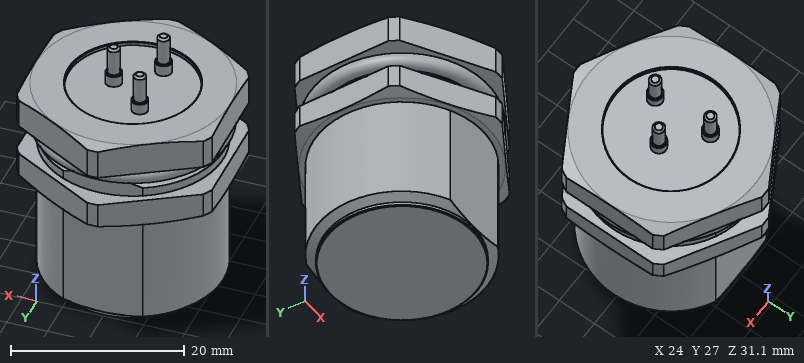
import cadquery as cq
import math

TOTAL_HEIGHT = 31.1

HEX_ACROSS_FLATS = 24.0
HEX_CORNER_DIAMETER = 27.0
HEX_CHAMFER_DIAMETER = 23.85
HEX_CHAMFER_ANGLE = 15.0

BARREL_DIAMETER = 22.3
NECK_DIAMETER = 19.9
ACROSS_BARREL_FLATS = 20.03
BARREL_CHAMFER_HEIGHT = 0.62
BARREL_BOTTOM = 0.53
BARREL_TOP = 20.25
END_EDGE_CHAMFER = 0.12

FLANGE_BOTTOM = 22.42
FLANGE_THICKNESS = 4.1
RECESS_DIAMETER = 15.8
RECESS_DEPTH = 0.5
RECESS_EDGE_CHAMFER = 0.1

PIN_DIAMETER = 1.5
PIN_TIP_CHAMFER = 0.28
COLLAR_DIAMETER = 2.0
COLLAR_TOP = 27.55
COLLAR_EDGE_CHAMFER = 0.12
SINGLE_PIN_X = 2.35
PAIR_PIN_X = -2.3
PIN_OFFSET_Y = 3.95

RING_SECTION_DIAMETER = 2.0

NUT_BOTTOM = 15.0
NUT_THICKNESS = 3.5

FLANGE_TOP = FLANGE_BOTTOM + FLANGE_THICKNESS
RECESS_FLOOR = FLANGE_TOP - RECESS_DEPTH
PIN_POSITIONS = [
    (SINGLE_PIN_X, 0),
    (PAIR_PIN_X, PIN_OFFSET_Y),
    (PAIR_PIN_X, -PIN_OFFSET_Y),
]


def cylinder(diameter, bottom, top):
    """Vertical cylinder on the Z axis between two heights."""
    return cq.Workplane("XY").workplane(offset=bottom).circle(diameter / 2).extrude(top - bottom)


def hexagon(thickness):
    """Hexagon standing on Z = 0, with corners turned round and the top corners bevelled."""
    corner_radius = HEX_CORNER_DIAMETER / 2
    chamfer_radius = HEX_CHAMFER_DIAMETER / 2
    chamfer_drop = (corner_radius - chamfer_radius) * math.tan(math.radians(HEX_CHAMFER_ANGLE))
    full_corner_diameter = HEX_ACROSS_FLATS / math.cos(math.radians(30))

    prism = (
        cq.Workplane("XY")
        .transformed(rotate=(0, 0, 30))
        .polygon(6, full_corner_diameter)
        .extrude(thickness)
    )
    turned_blank = (
        cq.Workplane("XZ")
        .polyline([
            (0, 0),
            (corner_radius, 0),
            (corner_radius, thickness - chamfer_drop),
            (chamfer_radius, thickness),
            (0, thickness),
        ])
        .close()
        .revolve(360, (0, 0, 0), (0, 1, 0))
    )
    return prism.intersect(turned_blank)


def make_barrel():
    """Barrel with conical ends and a flat on the front and back, on a narrower core."""
    neck_radius = NECK_DIAMETER / 2
    barrel_radius = BARREL_DIAMETER / 2

    sleeve = (
        cq.Workplane("XZ")
        .polyline([
            (0, BARREL_BOTTOM),
            (neck_radius, BARREL_BOTTOM),
            (barrel_radius, BARREL_BOTTOM + BARREL_CHAMFER_HEIGHT),
            (barrel_radius, BARREL_TOP - BARREL_CHAMFER_HEIGHT),
            (neck_radius, BARREL_TOP),
            (0, BARREL_TOP),
        ])
        .close()
        .revolve(360, (0, 0, 0), (0, 1, 0))
    )
    between_flats = cq.Workplane("XY").box(
        BARREL_DIAMETER, ACROSS_BARREL_FLATS, BARREL_TOP, centered=(True, True, False)
    )
    core = cylinder(NECK_DIAMETER, 0, FLANGE_BOTTOM).faces("<Z").chamfer(END_EDGE_CHAMFER)
    return core.union(sleeve.intersect(between_flats))


def make_flange():
    """Hexagon flange with a shallow round recess in its top face."""
    recess = cylinder(RECESS_DIAMETER, RECESS_FLOOR, FLANGE_TOP)
    flange = hexagon(FLANGE_THICKNESS).translate((0, 0, FLANGE_BOTTOM)).cut(recess)
    recess_rim = cq.selectors.RadiusNthSelector(0)
    return flange.faces(">Z").edges("%CIRCLE").edges(recess_rim).chamfer(RECESS_EDGE_CHAMFER)


def make_pin(x, y):
    """Stepped contact pin rising from the recess floor."""
    collar = cylinder(COLLAR_DIAMETER, RECESS_FLOOR, COLLAR_TOP).faces(">Z").chamfer(COLLAR_EDGE_CHAMFER)
    shank = cylinder(PIN_DIAMETER, RECESS_FLOOR, TOTAL_HEIGHT).faces(">Z").chamfer(PIN_TIP_CHAMFER)
    return collar.union(shank).translate((x, y, 0))


def make_housing():
    """Barrel, flange and contact pins as one solid."""
    housing = make_barrel().union(make_flange())
    for x, y in PIN_POSITIONS:
        housing = housing.union(make_pin(x, y))
    return housing


def make_sealing_ring():
    """Round-section ring seated on the neck, against the underside of the flange."""
    section_radius = RING_SECTION_DIAMETER / 2
    centre_radius = NECK_DIAMETER / 2 + section_radius
    return (
        cq.Workplane("XZ")
        .center(centre_radius, FLANGE_BOTTOM - section_radius)
        .circle(section_radius)
        .revolve(360, (-centre_radius, 0, 0), (-centre_radius, 1, 0))
    )


def make_nut():
    """Hexagon nut around the barrel, with its bevelled side facing down."""
    nut = (
        hexagon(NUT_THICKNESS)
        .rotate((0, 0, 0), (1, 0, 0), 180)
        .translate((0, 0, NUT_BOTTOM + NUT_THICKNESS))
    )
    return nut.cut(cylinder(BARREL_DIAMETER, NUT_BOTTOM, NUT_BOTTOM + NUT_THICKNESS))


housing = make_housing()
sealing_ring = make_sealing_ring()
nut = make_nut()

result = cq.Compound.makeCompound([housing.val(), sealing_ring.val(), nut.val()])